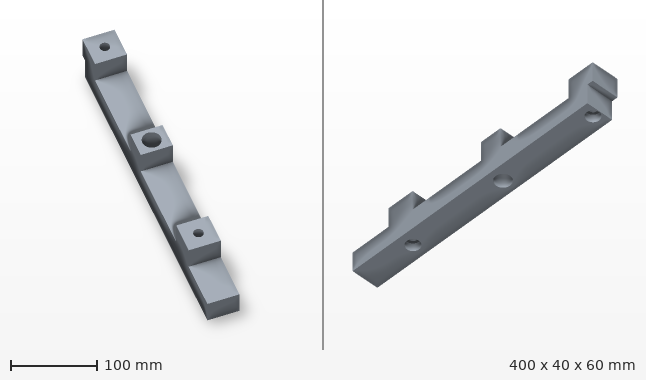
import cadquery as cq

length = 400.0
width = 40.0
height = 60.0
bar_height = 30.0
bar_start = 9.0

end_block_length = 40.0
middle_block_length = 33.0
first_hole_x = 20.0
hole_spacing = 150.0
middle_hole_x = first_hole_x + hole_spacing
last_hole_x = middle_hole_x + hole_spacing

bolt_hole_diameter = 12.5
middle_hole_diameter = 23.0
bolt_head_diameter = 20.0
bolt_head_depth = 12.5


def block(center_x, block_length):
    """Block across the full width, standing on top of the bar."""
    return cq.Workplane("XY").box(
        block_length, width, height - bar_height, centered=(True, True, False)
    ).translate((center_x, 0, bar_height))


def vertical_hole(center_x, diameter, depth):
    """Cutting cylinder rising from the underside of the bar."""
    return cq.Workplane("XY").center(center_x, 0).circle(diameter / 2).extrude(depth)


result = (
    cq.Workplane("XY")
    .box(length - bar_start, width, bar_height, centered=(False, True, False))
    .translate((bar_start, 0, 0))
    .union(block(first_hole_x, end_block_length))
    .union(block(middle_hole_x, middle_block_length))
    .union(block(last_hole_x, end_block_length))
    .cut(vertical_hole(middle_hole_x, middle_hole_diameter, height))
)

for hole_x in (first_hole_x, last_hole_x):
    result = result.cut(vertical_hole(hole_x, bolt_hole_diameter, height))
    result = result.cut(vertical_hole(hole_x, bolt_head_diameter, bolt_head_depth))